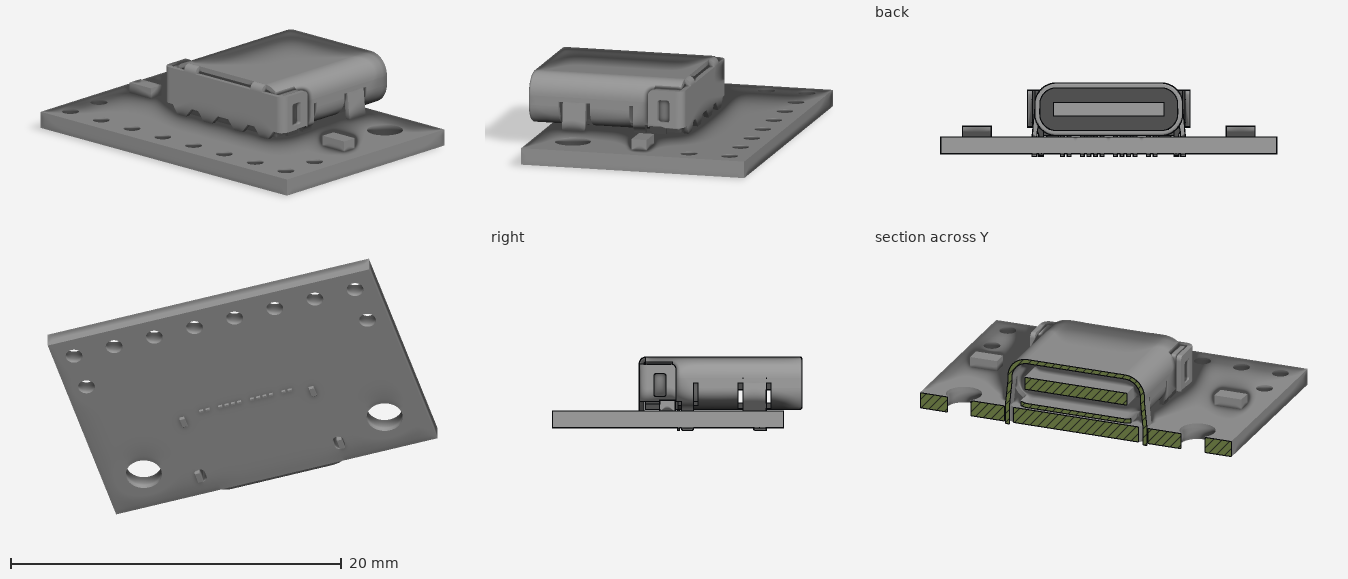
import cadquery as cq


board_width = 20.32
board_depth = 13.97
board_thickness = 1.02
pitch = 2.54
header_count = 8
header_hole_diameter = 1.02
header_row_y = pitch / 2
mount_hole_diameter = 2.18
mount_hole_x = 3 * pitch
mount_hole_y = 4.5 * pitch

chip_length = 1.75
chip_width = 0.95
chip_height = 0.66
chip_x = 7.97
chip_y = 6.95

overhang = 1.11
shell_width = 8.94
shell_side_flat = 0.58
shell_radius = 1.30
shell_clearance = 0.09
shell_length = 9.47
sheet = 0.30
mouth_fillet = 0.14
cavity_depth = 6.2
body_recess = 0.15
tongue_width = 6.69
tongue_thickness = 0.81
tongue_length = 4.45

shell_height = shell_side_flat + 2 * shell_radius
shell_top = shell_clearance + shell_height
shell_middle = shell_clearance + shell_height / 2
shell_half = shell_width / 2
mouth_y = board_depth + overhang
shell_front_y = mouth_y - shell_length
cavity_end_y = mouth_y - cavity_depth

pin_protrusion = 0.16
pin_bottom = -board_thickness - pin_protrusion
tip_chamfer = 0.07
rear_leg_y = mouth_y - 2.87
rear_leg_width = 1.42
rear_leg_outer_x = 4.64
rear_leg_foot_width = 0.76
rear_window_width = 1.97
rear_window_inner_x = 3.6
rear_slot_length = 1.0
rear_slot_width = 0.65
rear_slot_x = 4.375
rear_slot_y = mouth_y - 2.53
front_leg_y = mouth_y - 6.92
front_leg_width = 0.74
front_leg_inner_x = 3.94
pin_width = 0.24
pin_depth = 0.12
pin_pitch = 0.4
pin_steps = [1, 2, 3, 4, 6, 7]
pin_y = mouth_y - 7.45

relief_back_y = mouth_y - 6.30
relief_width = 0.25
wall_back_y = relief_back_y - relief_width
wall_inner_x = shell_half - 0.28
wall_bottom = 0.57
wall_top = 2.80
wall_corner_radius = 0.15
wall_gap_x = 4.02
wall_tab_back_y = mouth_y - 7.82
lower_step_width = 0.9
lower_step_bottom = 0.42
foot_y = mouth_y - 8.12
foot_width = 0.88
foot_height = 0.62
foot_outer_x = 4.20
lower_body_half = 4.03
lower_body_back_y = mouth_y - 7.50

bracket_width = 9.84
bracket_front_y = mouth_y - 9.84
bracket_arm_length = 2.22
bracket_top = 2.84
bracket_bottom = 0.57
bracket_radius = 0.50
arm_corner_radius = 0.30
arm_window_width = 0.73
arm_window_bottom = 0.87
arm_window_top = 2.26
arm_window_radius = 0.15
arm_window_y = mouth_y - 8.59
teeth_half_bottom = 3.72
teeth_half_top = 4.14
notches = [(-2.32, 1.47, 0.56), (0, 1.86, 0.86), (2.32, 1.47, 0.56)]
bridge_inner_x = 2.26
bridge_outer_x = 3.20

bracket_half = bracket_width / 2
bracket_inner_x = bracket_half - sheet
bracket_inner_y = bracket_front_y + sheet
arm_back_y = bracket_front_y + bracket_arm_length


def block(x_min, x_max, y_min, y_max, z_min, z_max):
    """Box given by its limits along each axis."""
    size = (x_max - x_min, y_max - y_min, z_max - z_min)
    return cq.Workplane("XY").box(*size, centered=False).translate((x_min, y_min, z_min))


def both_sides(shape):
    """The shape together with its mirror image across X = 0."""
    return shape.union(shape.mirror("YZ"))


def make_board():
    board = block(-board_width / 2, board_width / 2, 0, board_depth, -board_thickness, 0)
    first_x = -(header_count - 1) * pitch / 2
    small = [(first_x + i * pitch, header_row_y) for i in range(header_count)]
    small += [(side * first_x, header_row_y + pitch) for side in (-1, 1)]
    large = [(side * mount_hole_x, mount_hole_y) for side in (-1, 1)]
    slots = [(side * rear_slot_x, rear_slot_y) for side in (-1, 1)]
    openings = [
        cq.Workplane("XY").pushPoints(small).circle(header_hole_diameter / 2),
        cq.Workplane("XY").pushPoints(large).circle(mount_hole_diameter / 2),
        cq.Workplane("XY").pushPoints(slots).slot2D(rear_slot_length, rear_slot_width, 90),
    ]
    for opening in openings:
        board = board.cut(opening.extrude(-board_thickness))
    return board


def make_chips():
    chip = cq.Workplane("XY").rect(chip_length, chip_width).extrude(chip_height)
    return both_sides(chip.translate((chip_x, chip_y, 0)))


def shell_body(inset, length):
    """Rounded bar running forward from the mouth, inset from the outer skin."""
    return (
        cq.Workplane("XZ", origin=(0, mouth_y, shell_middle))
        .rect(shell_width - 2 * inset, shell_height - 2 * inset)
        .extrude(length)
        .edges("|Y")
        .fillet(shell_radius - inset)
    )


def make_shell():
    shell = shell_body(0, shell_length).faces(">Y").edges().fillet(mouth_fillet)
    tongue = block(
        -tongue_width / 2, tongue_width / 2,
        cavity_end_y, cavity_end_y + tongue_length,
        shell_middle - tongue_thickness / 2, shell_middle + tongue_thickness / 2,
    )
    core = shell_body(sheet, shell_length)
    recess = block(
        -shell_half, shell_half,
        shell_front_y, shell_front_y + body_recess,
        shell_middle, shell_top,
    )
    shell = shell.cut(shell_body(sheet, cavity_depth)).cut(core.intersect(recess))
    return shell.union(tongue)


def side_cuts():
    """Openings in one side of the shell: rear window, relief slit and front corners."""
    window = block(
        rear_window_inner_x, shell_half,
        rear_leg_y - rear_window_width / 2, rear_leg_y + rear_window_width / 2,
        0, shell_middle,
    )
    slit = block(wall_inner_x, shell_half, wall_back_y, relief_back_y, 0, shell_middle)
    lower = block(front_leg_inner_x, shell_half, shell_front_y, relief_back_y, 0, wall_bottom)
    upper = block(wall_gap_x, shell_half, shell_front_y, wall_tab_back_y, shell_middle, shell_top)
    return window.union(slit).union(lower).union(upper)


def make_side_wall():
    """Flat wall at the front of one side, with its raised tab and lower step."""
    lower = block(wall_inner_x, shell_half, shell_front_y, wall_back_y, wall_bottom, shell_middle)
    tab = block(wall_inner_x, shell_half, shell_front_y, wall_tab_back_y, shell_middle, wall_top)
    tab = tab.faces(">Z").edges("|X").fillet(wall_corner_radius)
    step = block(
        front_leg_inner_x, shell_half,
        shell_front_y, shell_front_y + lower_step_width,
        lower_step_bottom, wall_bottom,
    )
    foot = block(
        front_leg_inner_x, foot_outer_x,
        foot_y - foot_width / 2, foot_y + foot_width / 2,
        0, foot_height,
    )
    return lower.union(tab).union(step).union(foot)


def make_lower_body():
    """Plastic block under the front of the shell, just clear of the board."""
    return block(
        -lower_body_half, lower_body_half,
        shell_front_y, lower_body_back_y,
        shell_clearance, wall_bottom,
    )


def make_rear_leg():
    """Leg bent outwards from the side wall, narrowing to a foot in the board slot."""
    leg = (
        cq.Workplane("XZ", origin=(0, rear_leg_y + rear_leg_width / 2, 0))
        .moveTo(shell_half, shell_middle)
        .lineTo(rear_leg_outer_x, 0)
        .lineTo(rear_leg_outer_x, pin_bottom)
        .lineTo(rear_leg_outer_x - sheet, pin_bottom)
        .lineTo(rear_leg_outer_x - sheet, 0)
        .lineTo(shell_half - sheet, shell_middle)
        .lineTo(shell_half - sheet, shell_middle + sheet)
        .lineTo(shell_half, shell_middle + sheet)
        .close()
        .extrude(rear_leg_width)
    )
    foot_back_y = rear_leg_y + rear_leg_width / 2
    foot_front_y = foot_back_y - rear_leg_foot_width
    leg_front_y = rear_leg_y - rear_leg_width / 2
    waste = (
        cq.Workplane("YZ")
        .moveTo(leg_front_y, 0)
        .lineTo(foot_front_y, 0)
        .lineTo(foot_front_y, pin_bottom + tip_chamfer)
        .lineTo(foot_front_y + tip_chamfer, pin_bottom)
        .lineTo(leg_front_y, pin_bottom)
        .close()
        .extrude(rear_leg_outer_x)
    )
    return leg.cut(waste)


def make_front_leg():
    """Leg with an S-bend inwards from the side wall, passing through the board."""
    bottom_x = front_leg_inner_x + sheet
    half_run = (shell_half - bottom_x) / 2
    half_drop = (wall_bottom - shell_clearance) / 2
    bend_radius = (half_run**2 + half_drop**2) / (2 * half_run)
    leg = (
        cq.Workplane("XZ", origin=(0, front_leg_y + front_leg_width / 2, 0))
        .moveTo(shell_half, wall_bottom)
        .radiusArc((shell_half - half_run, wall_bottom - half_drop), bend_radius)
        .radiusArc((bottom_x, shell_clearance), -bend_radius)
        .lineTo(bottom_x, pin_bottom)
        .lineTo(front_leg_inner_x, pin_bottom)
        .lineTo(front_leg_inner_x, wall_bottom)
        .close()
        .extrude(front_leg_width)
    )
    return leg.faces("<Z").edges("|X").chamfer(tip_chamfer)


def make_pins():
    positions = [(side * step * pin_pitch, pin_y) for side in (-1, 1) for step in pin_steps]
    pins = cq.Workplane("XY", origin=(0, 0, pin_bottom)).pushPoints(positions)
    return pins.rect(pin_width, pin_depth).extrude(wall_bottom - pin_bottom)


def make_bracket():
    """U-shaped plate around the front of the shell, with teeth standing on the board."""
    bracket = block(-bracket_half, bracket_half, bracket_front_y, arm_back_y, 0, bracket_top)
    bracket = bracket.edges("|Z and <Y").fillet(bracket_radius)
    inside = block(-bracket_inner_x, bracket_inner_x, bracket_inner_y, arm_back_y, 0, bracket_top)
    inside = inside.edges("|Z and <Y").fillet(bracket_radius - sheet)
    bracket = bracket.cut(inside)
    bracket = bracket.edges("|X and >Y and >Z").fillet(arm_corner_radius)

    window_height = arm_window_top - arm_window_bottom
    window = (
        cq.Workplane("YZ", origin=(0, arm_window_y, arm_window_bottom + window_height / 2))
        .rect(arm_window_width, window_height)
        .extrude(bracket_half, both=True)
        .edges("|X")
        .fillet(arm_window_radius)
    )
    foot_notch = block(
        -bracket_half, bracket_half,
        foot_y - foot_width / 2, foot_y + foot_width / 2,
        0, foot_height,
    )
    corner = (
        cq.Workplane("XZ", origin=(0, arm_back_y, 0))
        .moveTo(teeth_half_bottom, 0)
        .lineTo(teeth_half_top, bracket_bottom)
        .lineTo(bracket_half, bracket_bottom)
        .lineTo(bracket_half, 0)
        .close()
        .extrude(bracket_arm_length)
    )
    bracket = bracket.cut(window).cut(foot_notch).cut(both_sides(corner))
    for centre, bottom_width, top_width in notches:
        notch = (
            cq.Workplane("XZ", origin=(centre, bracket_inner_y, 0))
            .moveTo(-bottom_width / 2, 0)
            .lineTo(bottom_width / 2, 0)
            .lineTo(top_width / 2, bracket_bottom)
            .lineTo(-top_width / 2, bracket_bottom)
            .close()
            .extrude(sheet)
        )
        bracket = bracket.cut(notch)
    return bracket


def make_bridge():
    """Bent strip joining the shell roof to the bracket."""
    outer_radius = shell_top - bracket_top
    inner_radius = outer_radius - sheet
    roof_y = bracket_front_y + outer_radius
    return (
        cq.Workplane("YZ", origin=(bridge_inner_x, 0, 0))
        .moveTo(roof_y, shell_top)
        .radiusArc((bracket_front_y, bracket_top), -outer_radius)
        .lineTo(bracket_inner_y, bracket_top)
        .radiusArc((roof_y, bracket_top + inner_radius), inner_radius)
        .close()
        .extrude(bridge_outer_x - bridge_inner_x)
    )


connector = make_shell().cut(both_sides(side_cuts()))
for side_feature in (make_side_wall(), make_rear_leg(), make_front_leg(), make_bridge()):
    connector = connector.union(both_sides(side_feature))
connector = connector.union(make_lower_body()).union(make_bracket()).union(make_pins())

result = make_board().union(make_chips()).union(connector)